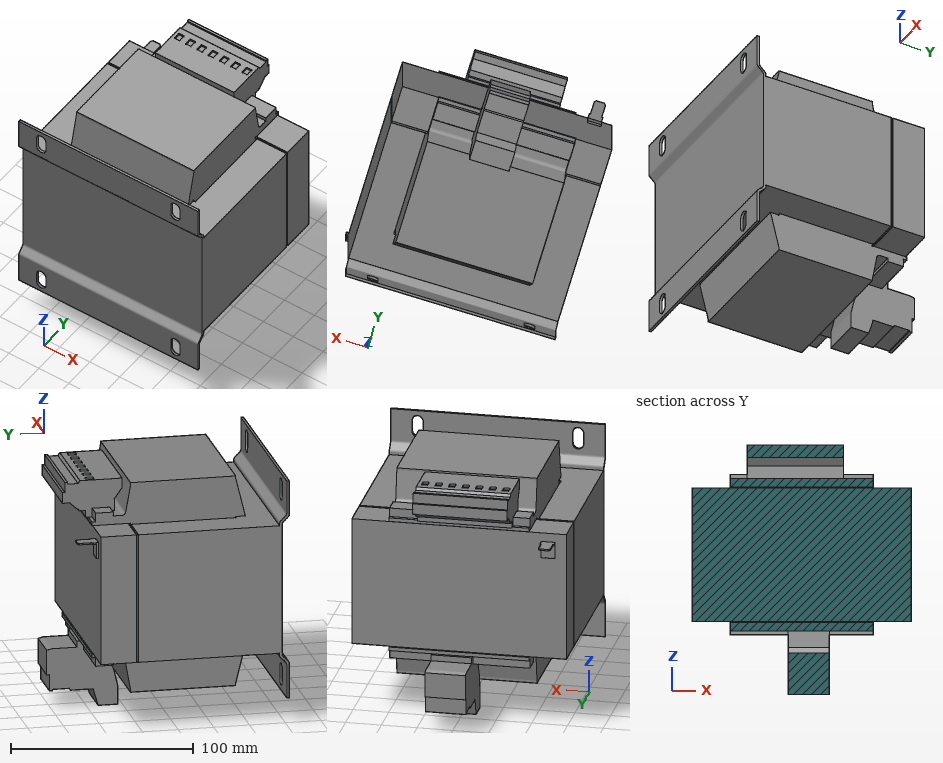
import cadquery as cq


width = 120.0
bracket_height = 124.5
bracket_top_z = 62.0
bracket_bottom_z = bracket_top_z - bracket_height
sheet = 1.5
joggle = 4.0
joggle_start_z = 38.7
bend_radius = 2.0
slot_width = 6.1
slot_length = 12.5
slot_x = 44.9
slot_spacing_z = 106.2

core_front = joggle + sheet
core_back = 105.6
core_half_height = 36.6
window_width = 80.7
window_front = 25.6
window_back = 84.5
joint_width = 1.0
joint_depth = 0.3

coil_width = 78.5
coil_half_height = 60.2
coil_rim = 1.4
coil_foot_front = 20.2
coil_foot_back = 87.6
coil_root_radius = 2.2
bobbin_clearance = 0.3
bobbin_back = 106.2
ledge_z = 39.0
saddle_z = 41.7
rail_z = 44.0
rail_front = 94.2
rail_back = 104.1

upper_left = -30.0
upper_poles = 7
upper_width = 52.8
pole_pitch = upper_width / upper_poles
lower_left = -7.5
lower_poles = 3
overall_height = 138.6
bottom_z = bracket_top_z - overall_height
entry_width = 3.5
entry_length = 4.5
entry_depth = 1.1
entry_y = 104.8

tab_x = -49.9
tab_root_width = 7.8
tab_width = 6.5
tab_root_back = 109.2
tab_back = 117.1
tab_corner = 1.0
tab_thickness = 0.8
tab_top_z = 31.6
tab_foot_z = 22.5
tab_foot_thickness = 1.1


def box(x0, x1, y0, y1, z0, z1):
    """Box given by its limits along each axis."""
    return cq.Workplane("XY").box(x1 - x0, y1 - y0, z1 - z0, centered=False).translate((x0, y0, z0))


def side_extrusion(points, x0, x1):
    """Extrude a (Y, Z) outline from x0 to x1."""
    return cq.Workplane("YZ").workplane(offset=x0).polyline(points).close().extrude(x1 - x0)


def make_bracket():
    miter = sheet * (2 ** 0.5 - 1)
    back_bends = [
        (joggle + sheet, joggle_start_z),
        (sheet, joggle_start_z + joggle),
    ]
    front_bends = [
        (0, joggle_start_z + joggle - miter),
        (joggle, joggle_start_z - miter),
    ]
    upper = back_bends + [(sheet, bracket_top_z), (0, bracket_top_z)] + front_bends
    lower = (
        [(y, -z) for y, z in reversed(front_bends)]
        + [(0, bracket_bottom_z), (sheet, bracket_bottom_z)]
        + [(y, -z) for y, z in reversed(back_bends)]
    )
    bracket = side_extrusion(upper + lower, -width / 2, width / 2)

    def is_bend(edge):
        return abs(edge.Center().z) < joggle_start_z + joggle + sheet

    bracket = bracket.edges("|X").filter(is_bend).fillet(bend_radius)

    slots = (
        cq.Workplane("XZ")
        .center(0, (bracket_top_z + bracket_bottom_z) / 2)
        .rarray(2 * slot_x, slot_spacing_z, 2, 2)
        .slot2D(slot_length, slot_width, 90)
        .extrude(-2 * sheet)
    )
    return bracket.cut(slots)


def make_core():
    half = width / 2
    core = box(-half, half, core_front, core_back, -core_half_height, core_half_height)
    window = box(
        -window_width / 2, window_width / 2,
        window_front, window_back,
        -core_half_height, core_half_height,
    )
    joint_back = window_back + joint_width
    joint = box(-half, half, window_back, joint_back, -core_half_height, core_half_height)
    joint_filling = box(
        -half + joint_depth, half - joint_depth,
        window_back, joint_back,
        -core_half_height + joint_depth, core_half_height - joint_depth,
    )
    return core.cut(window).cut(joint.cut(joint_filling))


def make_coil():
    half = coil_width / 2
    base_z = core_half_height + bobbin_clearance
    rim_z = coil_half_height - coil_rim
    end = side_extrusion(
        [
            (coil_foot_front, base_z),
            (window_front, rim_z),
            (window_front, coil_half_height),
            (window_back, coil_half_height),
            (window_back, rim_z),
            (coil_foot_back, saddle_z),
            (rail_front, saddle_z),
            (rail_front, rail_z),
            (rail_back, rail_z),
            (rail_back, ledge_z),
            (bobbin_back, ledge_z),
            (bobbin_back, base_z),
        ],
        -half, half,
    )
    root = cq.selectors.NearestToPointSelector((0, coil_foot_back, saddle_z))
    end = end.edges("|X").edges(root).fillet(coil_root_radius)
    middle = box(-half, half, window_front, window_back, -base_z, base_z)
    return middle.union(end).union(end.mirror("XY"))


def make_upper_terminals():
    block = side_extrusion(
        [
            (87.3, coil_half_height),
            (87.3, 54.7),
            (91.6, 48.5),
            (91.6, saddle_z),
            (rail_front, saddle_z),
            (rail_front, rail_z),
            (rail_back, rail_z),
            (rail_back, ledge_z),
            (107.8, ledge_z),
            (107.8, 42.8),
            (111.2, 42.8),
            (116.7, 47.8),
            (120.7, 47.8),
            (120.7, 53.9),
            (119.3, 53.9),
            (119.3, 59.6),
            (117.8, 59.6),
            (117.8, 58.6),
            (112.0, 58.6),
            (110.9, coil_half_height),
        ],
        upper_left, upper_left + upper_width,
    )
    for pole in range(upper_poles):
        x = upper_left + (pole + 0.5) * pole_pitch
        block = block.cut(box(
            x - entry_width / 2, x + entry_width / 2,
            entry_y - entry_length / 2, entry_y + entry_length / 2,
            coil_half_height - entry_depth, coil_half_height,
        ))
    return block


def make_lower_terminals():
    return side_extrusion(
        [
            (84.8, bottom_z),
            (95.9, bottom_z),
            (98.7, -67.0),
            (111.5, -67.0),
            (112.1, -65.8),
            (121.4, -65.8),
            (121.4, -66.5),
            (123.2, -66.5),
            (123.2, -57.2),
            (124.7, -57.2),
            (124.7, -43.1),
            (121.8, -42.4),
            (107.8, -42.4),
            (107.8, -ledge_z),
            (rail_back, -ledge_z),
            (rail_back, -rail_z),
            (rail_front, -rail_z),
            (rail_front, -saddle_z),
            (89.8, -saddle_z),
            (89.8, -50.9),
            (87.0, -56.7),
            (84.8, -66.3),
        ],
        lower_left, lower_left + lower_poles * pole_pitch,
    )


def make_earthing_tab():
    root = tab_root_width / 2
    half = tab_width / 2
    under_z = tab_top_z - tab_thickness
    foot = box(
        tab_x - root, tab_x + root,
        core_back, core_back + tab_foot_thickness,
        tab_foot_z, tab_top_z,
    )
    base = box(tab_x - root, tab_x + root, core_back, tab_root_back, under_z, tab_top_z)
    blade = box(tab_x - half, tab_x + half, core_back, tab_back, under_z, tab_top_z)
    blade = blade.edges("|Z and >Y").chamfer(tab_corner)
    return foot.union(base).union(blade)


result = (
    make_core()
    .union(make_bracket())
    .union(make_coil())
    .union(make_upper_terminals())
    .union(make_lower_terminals())
    .union(make_earthing_tab())
)